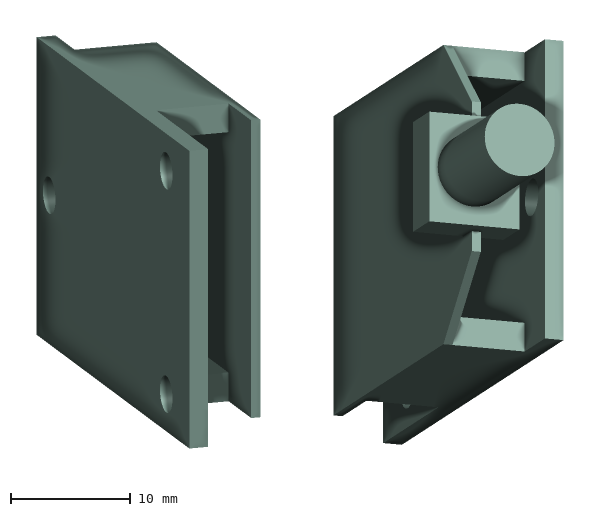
import cadquery as cq

length = 53.7
height = 25.8
depth = 13.4

plate_start = 15.1
plate_thickness = 1.65
hole_diameter = 3.15
hole_pair_x = 47.85
hole_pair_spacing = 19.35
single_hole_x = 18.25

back_start = 13.15
back_end = 46.2
back_face_y = 8.9
back_thickness = 0.8
back_nose_height = 12.9

wall_start = 19.9
wall_end = 40.5
wall_thickness = 2.45

block_start = 11.2
block_width = 8.05
block_height = 9.45
rod_diameter = 6.25
rod_y = 9.55


def box_between(x_range, y_range, z_range):
    """Box spanning the given (low, high) limits along each axis."""
    sizes = [high - low for low, high in (x_range, y_range, z_range)]
    corner = (x_range[0], y_range[0], z_range[0])
    return cq.Workplane("XY").box(*sizes, centered=False).translate(corner)


def mounting_plate():
    half = height / 2
    plate = box_between((plate_start, length), (0, plate_thickness), (-half, half))
    hole_points = [
        (single_hole_x, 0),
        (hole_pair_x, hole_pair_spacing / 2),
        (hole_pair_x, -hole_pair_spacing / 2),
    ]
    holes = (
        cq.Workplane("XZ")
        .pushPoints(hole_points)
        .circle(hole_diameter / 2)
        .extrude(-plate_thickness)
    )
    return plate.cut(holes)


def back_plate():
    half = height / 2
    nose_half = back_nose_height / 2
    return (
        cq.Workplane("XZ", origin=(0, back_face_y - back_thickness, 0))
        .polyline([
            (back_start, -nose_half),
            (wall_start, -half),
            (back_end, -half),
            (back_end, half),
            (wall_start, half),
            (back_start, nose_half),
        ])
        .close()
        .extrude(-back_thickness)
    )


def side_wall(z_low):
    return box_between(
        (wall_start, wall_end),
        (0, back_face_y),
        (z_low, z_low + wall_thickness),
    )


def rod_block():
    half = block_height / 2
    return box_between((block_start, plate_start), (depth - block_width, depth), (-half, half))


def rod():
    return (
        cq.Workplane("YZ", origin=(0, rod_y, 0))
        .circle(rod_diameter / 2)
        .extrude(block_start)
    )


result = mounting_plate().union(back_plate())
for wall_z in (-height / 2, height / 2 - wall_thickness):
    result = result.union(side_wall(wall_z))
result = result.union(rod_block()).union(rod())